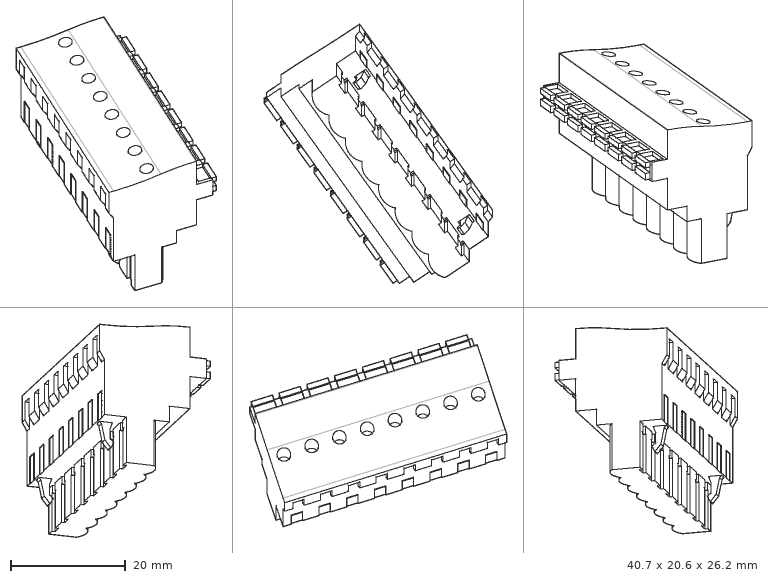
import cadquery as cq
import math

POLE_COUNT = 8
LENGTH = 40.65
PITCH = LENGTH / POLE_COUNT

TOP_Z = 26.25
BASE_Z = 8.37
STEP_Z = 11.25
BACK_Y = 16.65
STEP_Y = 12.85
LIP_DEPTH = 0.9
LIP_LOW_Z = 20.0
LIP_FOOT_Z = 18.5

ROOF_ANGLE = math.radians(10.0)
ROOF_FRONT_Y = LIP_DEPTH
ROOF_MIDDLE_Y = 9.88
ROOF_BACK_Y = 16.5

HOLE_DIAMETER = 2.35
HOLE_Y = 8.25
HOLE_BOTTOM_Z = 20.3

SLOT_WIDTH = 2.07
LIP_SLOT_TOP_Z = 23.3
LOW_SLOT_TOP_Z = 13.3
LOW_SLOT_DEPTH = 0.12

PLUG_FRONT_Y = 4.9
PLUG_EDGE_Y = 10.0
PLUG_BACK_Y = 11.0
GROOVE_WIDTH = 1.83
GROOVE_DEPTH = 0.55
GROOVE_TOP_Z = 7.0
GROOVE_NECK_WIDTH = 1.3

HOOK_WIDTH = 1.42
HOOK_OFFSET = 3.75

SHELF_BACK_Y = 19.7
SHELF_LOW_Z = 17.15
SHELF_TOP_Z = 20.75
BUTTON_WIDTH = 3.9
BUTTON_FRONT_Y = 17.25
BUTTON_BACK_Y = 20.65
BUTTON_LOW_Z = 17.4
BUTTON_DECK_Z = 20.0
LOW_PRONG_TOP_Z = 18.6
TOP_PRONG_LOW_Z = 19.65
TOP_PRONG_TOP_Z = 20.65

POLE_CENTERS = [(i + 0.5) * PITCH for i in range(POLE_COUNT)]


def block(x_range, y_range, z_range):
    """Box spanning the given (low, high) ranges."""
    (x0, x1), (y0, y1), (z0, z1) = x_range, y_range, z_range
    return cq.Workplane("XY").box(x1 - x0, y1 - y0, z1 - z0, centered=False).translate((x0, y0, z0))


def centered_span(center, width):
    """(low, high) range of the given width around a center."""
    return (center - width / 2, center + width / 2)


def make_body():
    """Body with its S-shaped roof, front lip, stepped back and shelf."""
    arc_fall = math.tan(ROOF_ANGLE / 2)
    middle_z = TOP_Z - (ROOF_BACK_Y - ROOF_MIDDLE_Y) * arc_fall
    front_z = middle_z - (ROOF_MIDDLE_Y - ROOF_FRONT_Y) * arc_fall
    return (
        cq.Workplane("YZ")
        .moveTo(LIP_DEPTH, BASE_Z)
        .lineTo(LIP_DEPTH, LIP_FOOT_Z)
        .lineTo(0, LIP_LOW_Z)
        .lineTo(0, front_z)
        .lineTo(ROOF_FRONT_Y, front_z)
        .tangentArcPoint((ROOF_MIDDLE_Y, middle_z), relative=False)
        .tangentArcPoint((ROOF_BACK_Y, TOP_Z), relative=False)
        .lineTo(BACK_Y, TOP_Z)
        .lineTo(BACK_Y, SHELF_TOP_Z)
        .lineTo(SHELF_BACK_Y, SHELF_TOP_Z)
        .lineTo(SHELF_BACK_Y, SHELF_LOW_Z)
        .lineTo(BACK_Y, SHELF_LOW_Z)
        .lineTo(BACK_Y, STEP_Z)
        .lineTo(STEP_Y, STEP_Z)
        .lineTo(STEP_Y, BASE_Z)
        .close()
        .extrude(LENGTH)
    )


def make_plug():
    """Plug block whose back is a row of shallow arcs, one per pole."""
    outline = (
        cq.Workplane("XY")
        .moveTo(LENGTH, PLUG_EDGE_Y)
        .lineTo(LENGTH, PLUG_FRONT_Y)
        .lineTo(0, PLUG_FRONT_Y)
        .lineTo(0, PLUG_EDGE_Y)
    )
    for center in POLE_CENTERS:
        outline = outline.threePointArc((center, PLUG_BACK_Y), (center + PITCH / 2, PLUG_EDGE_Y))
    return outline.close().extrude(BASE_Z)


def make_hook(left_x):
    """Latch hook with an angled nose at its lower end."""
    outline = [
        (3.7, BASE_Z),
        (3.25, 7.27),
        (3.25, 5.35),
        (3.95, 4.8),
        (3.37, 3.75),
        (2.28, 5.05),
        (1.65, 7.95),
        (1.3, BASE_Z),
    ]
    return cq.Workplane("YZ").polyline(outline).close().extrude(HOOK_WIDTH).translate((left_x, 0, 0))


def pole_cuts(center):
    """Everything removed from the housing at one pole, except its button pocket."""
    roof_hole = (
        cq.Workplane("XY", origin=(center, HOLE_Y, HOLE_BOTTOM_Z))
        .circle(HOLE_DIAMETER / 2)
        .extrude(TOP_Z - HOLE_BOTTOM_Z)
    )
    slot_x = centered_span(center, SLOT_WIDTH)
    lip_slot = block(slot_x, (0, LIP_DEPTH), (LIP_FOOT_Z, LIP_SLOT_TOP_Z))
    low_slot = block(slot_x, (LIP_DEPTH, LIP_DEPTH + LOW_SLOT_DEPTH), (BASE_Z, LOW_SLOT_TOP_Z))
    groove_y = (PLUG_FRONT_Y, PLUG_FRONT_Y + GROOVE_DEPTH)
    groove = block(centered_span(center, GROOVE_WIDTH), groove_y, (0, GROOVE_TOP_Z))
    neck = block(centered_span(center, GROOVE_NECK_WIDTH), groove_y, (GROOVE_TOP_Z, BASE_Z))
    return [roof_hole, lip_slot, low_slot, groove, neck]


def button_pocket(center):
    """Recess in the shelf, open at the top and the back."""
    return block(
        centered_span(center, BUTTON_WIDTH), (BUTTON_FRONT_Y, SHELF_BACK_Y), (BUTTON_LOW_Z, SHELF_TOP_Z)
    )


def make_housing():
    housing = make_body().union(make_plug())
    for left_x in (HOOK_OFFSET, LENGTH - HOOK_OFFSET - HOOK_WIDTH):
        housing = housing.union(make_hook(left_x))
    for center in POLE_CENTERS:
        for cut in pole_cuts(center):
            housing = housing.cut(cut)
        housing = housing.cut(button_pocket(center))
    return housing


def make_button(center):
    """Push button: a block in the shelf pocket with two prongs behind the shelf."""
    width = centered_span(center, BUTTON_WIDTH)
    prong_y = (SHELF_BACK_Y, BUTTON_BACK_Y)
    core = block(width, (BUTTON_FRONT_Y, SHELF_BACK_Y), (BUTTON_LOW_Z, BUTTON_DECK_Z))
    low_prong = block(width, prong_y, (BUTTON_LOW_Z, LOW_PRONG_TOP_Z))
    top_prong = block(width, prong_y, (TOP_PRONG_LOW_Z, TOP_PRONG_TOP_Z))
    return core.union(low_prong).union(top_prong)


housing = make_housing()
buttons = [make_button(center).val() for center in POLE_CENTERS]

result = cq.Compound.makeCompound([housing.val(), *buttons])